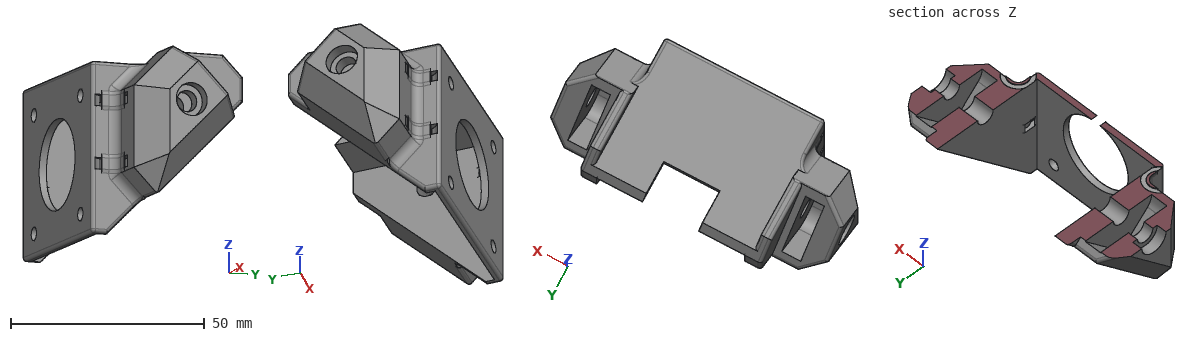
import cadquery as cq
import math


total_width = 81.4
total_depth = 41.0
total_height = 48.5
edge_round = 1.0

housing_half = 23.45
cavity_half = 21.65
deck_height = 45.0
plate = 2.0
foot_depth = 4.5
cheek_half = 26.6
notch_width = 16.45
notch_front = 29.4

motor_bore = 24.0
motor_center_z = 21.6
screw_hole = 3.5
screw_spacing = 31.1

wing_half = total_width / 2
bevel_start = 34.35
wing_front = 7.2
wing_upper = 30.1
wing_lower = 22.9
shallow_bevel = 6.35
deep_bevel = 7.4
root_fillet = 2.5

bearing_y = 20.7
bearing_z = 33.45
pocket_half = 9.2
pocket_corner = 5.0
pocket_inner_x = 28.6
pocket_width = 5.5
shaft_hole = 5.5
shaft_counterbore = 8.6
counterbore_depth = 3.25

tie_height = 3.0
tie_inner_radius = 3.25
tie_outer_radius = 4.6
band_raise = 0.2
band_flank = 1.0
band_end_x = 28.1
band_end_y = 2.7
band_backing = 0.8

tolerance = 0.01
reach = 2 * total_width
diagonal = math.sqrt(0.5)
wing_top = 2 * total_height - wing_upper
rear_edge_z = total_depth - foot_depth
rear_slope_z = deck_height - plate
rear_slope_sum = total_depth + rear_slope_z
root_x = housing_half + root_fillet
root_y = wing_front - root_fillet
band_height = tie_height + 2 * band_flank

apex = (total_height - wing_upper, total_height)
front_high = (wing_front, wing_upper + wing_front)
front_low = (wing_front, wing_lower - wing_front)
under_low = ((wing_lower + foot_depth) / 2, (wing_lower - foot_depth) / 2)
under_high = ((wing_top + foot_depth) / 2, (wing_top - foot_depth) / 2)
rear_low = (total_depth, rear_edge_z)
rear_high = (total_depth, rear_slope_z)
rear_deck = (rear_slope_sum - deck_height, deck_height)
rear_top = (rear_slope_sum - total_height, total_height)

housing_profile = [(0, 0), (foot_depth, 0), rear_low, rear_high, rear_deck, (0, deck_height)]
root_profile = [(0, 0), (foot_depth, 0), under_high, (wing_top - deck_height, deck_height), (0, deck_height)]
cheek_profile = [apex, rear_top, rear_high, rear_low, under_low, front_low, front_high]
wing_profile = [apex, under_high, under_low, front_low, front_high]

upward_front = (-diagonal, diagonal)
straight_front = (-1.0, 0.0)
downward_front = (-diagonal, -diagonal)
downward_rear = (diagonal, -diagonal)

tie_centers = (front_low[1] + band_height / 2, front_high[1] - band_height / 2)


def profile_prism(points, x_start, x_end):
    """Extrude a (Y, Z) outline along X."""
    return cq.Workplane("YZ", origin=(x_start, 0, 0)).polyline(points).close().extrude(x_end - x_start)


def edge_plane(point, outward):
    """Plane across a wing face: local x points out of the face and local y along +X."""
    out_y, out_z = outward
    return cq.Plane(origin=(0, *point), xDir=(0, out_y, out_z), normal=(0, out_z, -out_y))


def passes(edge, point):
    """True when the middle of the edge lies at a (Y, Z) point."""
    center = edge.Center()
    return math.dist((center.y, center.z), point) < tolerance


def on_underside(edge):
    """True for edges in the 45 degree underside plane."""
    center = edge.Center()
    return center.y > center.z + foot_depth - tolerance


def make_root():
    """Concave fillet swept around the three front faces of the wing, filled in behind."""
    arc_mid = root_fillet * (1 - diagonal)
    path_start = (under_low[0] + root_fillet, under_low[1] - root_fillet)
    path_points = [path_start, front_low, front_high, apex]
    path = cq.Workplane("YZ", origin=(housing_half, 0, 0)).polyline(path_points)
    flare = (
        cq.Workplane(edge_plane(path_start, downward_front))
        .moveTo(0, housing_half - edge_round)
        .lineTo(0, root_x)
        .threePointArc((arc_mid, housing_half + arc_mid), (root_fillet, housing_half))
        .lineTo(root_fillet, housing_half - edge_round)
        .close()
        .sweep(path, transition="round")
    )
    filling = profile_prism(wing_profile, housing_half - edge_round, root_x)
    return flare.union(filling).intersect(profile_prism(root_profile, 0, wing_half)).clean()


def is_housing_edge(edge):
    """True for the outer edges of the front face and of the side face, and the root arcs."""
    center = edge.Center()
    on_deck = center.z > deck_height - tolerance
    on_bottom = center.z < tolerance
    on_front = center.y < tolerance and center.x > tolerance
    on_side = center.x > housing_half - tolerance and edge.BoundingBox().xmax < housing_half + tolerance
    on_rim = on_deck or on_bottom or on_underside(edge)
    is_root_arc = edge.geomType() != "LINE" and (on_deck or on_underside(edge))
    return on_front or is_root_arc or (on_side and on_rim)


def make_housing():
    """Solid right half of the housing with its wing root, outer edges rounded."""
    housing = profile_prism(housing_profile, 0, housing_half).union(make_root()).clean()
    return housing.edges().filter(is_housing_edge).fillet(edge_round)


def make_ridge_envelope():
    """Cheek profile across the whole side, with the ridge along its apex rounded."""
    envelope = profile_prism(cheek_profile, housing_half, wing_half)
    return envelope.edges().filter(lambda edge: passes(edge, apex)).fillet(edge_round)


def is_cheek_rim(edge):
    """True for the top, rear and underside edges of the cheek."""
    center = edge.Center()
    return center.y + center.z > wing_top + tolerance or on_underside(edge)


def is_cheek_rail(edge):
    """True for the rim edges that stand above the deck."""
    return is_cheek_rim(edge) and edge.Center().z > deck_height


def make_cheek():
    """Raised rear wall on the housing side, joined below the deck by a filler."""
    cheek = profile_prism(cheek_profile, housing_half, cheek_half)
    cheek = cheek.faces(">X").edges().filter(is_cheek_rim).fillet(edge_round)
    cheek = cheek.faces("<X").edges().filter(is_cheek_rail).fillet(edge_round)
    cheek = cheek.intersect(make_ridge_envelope())
    filler_start = housing_half - edge_round
    filler_end = housing_half + edge_round
    filler = profile_prism(cheek_profile, filler_start, filler_end)
    filler = filler.intersect(profile_prism(housing_profile, filler_start, filler_end))
    return cheek.union(filler)


def is_wing_top_rim(edge):
    """True for the outer, bevel and rear edges of the top wing face."""
    center = edge.Center()
    in_top_face = abs(center.y + center.z - wing_top) < tolerance
    is_inner = center.x < housing_half + edge_round + tolerance
    is_ridge = center.y < apex[0] + edge_round
    return in_top_face and not is_inner and not is_ridge


def make_wing():
    """Bearing block with four outer bevels, a rounded toe and a rounded top rim."""
    wing = profile_prism(wing_profile, housing_half + edge_round, wing_half).intersect(make_ridge_envelope())
    bevels = (
        (front_high, upward_front, shallow_bevel),
        (under_low, downward_rear, shallow_bevel),
        (front_low, straight_front, deep_bevel),
        (front_low, downward_front, deep_bevel),
    )
    for point, outward, depth in bevels:
        corner = [(0, bevel_start), (-depth, wing_half), (0, wing_half)]
        wedge = cq.Workplane(edge_plane(point, outward)).polyline(corner).close().extrude(reach, both=True)
        wing = wing.cut(wedge)
    wing = wing.edges().filter(lambda edge: passes(edge, under_low)).fillet(edge_round)
    return wing.edges().filter(is_wing_top_rim).fillet(edge_round)


def make_band(tie_z):
    """Raised guide band with sloped flanks, wrapped around the upright root fillet."""
    radius = root_fillet - band_raise
    side_x = housing_half + band_raise
    front_y = wing_front - band_raise
    back_x = housing_half - band_backing
    back_y = wing_front + band_backing
    arc_mid = (root_x - radius * diagonal, root_y + radius * diagonal)
    band = (
        cq.Workplane(origin=(0, 0, tie_z - band_height / 2))
        .moveTo(band_end_x, front_y)
        .lineTo(root_x, front_y)
        .threePointArc(arc_mid, (side_x, root_y))
        .lineTo(side_x, band_end_y)
        .lineTo(back_x, band_end_y)
        .lineTo(back_x, back_y)
        .lineTo(band_end_x, back_y)
        .close()
        .extrude(band_height)
    )
    skin_box = cq.selectors.BoxSelector(
        (side_x - tolerance, band_end_y + tolerance, 0),
        (band_end_x - tolerance, front_y + tolerance, total_height),
    )
    return band.faces("<Z or >Z").edges(skin_box).chamfer(band_flank, band_raise)


def make_tie_tunnel(tie_z):
    """Ring around the root fillet axis; the tie runs through the part of it inside the wall."""
    start = cq.Workplane(origin=(root_x, root_y, tie_z - tie_height / 2))
    return start.circle(tie_outer_radius).circle(tie_inner_radius).extrude(tie_height)


def bearing_axis(x_start):
    """YZ workplane on the bearing axis."""
    return cq.Workplane("YZ", origin=(x_start, bearing_y, bearing_z))


def make_bearing_cut():
    """Round-cornered pocket from the top wing face, with the shaft hole and its counterbore."""
    pocket = (
        bearing_axis(pocket_inner_x)
        .transformed(rotate=(0, 0, 45))
        .moveTo(-pocket_half, -pocket_half)
        .lineTo(reach, -pocket_half)
        .lineTo(reach, pocket_half)
        .lineTo(-pocket_half, pocket_half)
        .close()
        .extrude(pocket_width)
        .edges("|X")
        .fillet(pocket_corner)
    )
    shaft = bearing_axis(0).circle(shaft_hole / 2).extrude(wing_half)
    counterbore_start = bearing_axis(wing_half - counterbore_depth)
    counterbore = counterbore_start.circle(shaft_counterbore / 2).extrude(counterbore_depth)
    return pocket.union(shaft).union(counterbore)


def rear_box(width, y_start, z_end):
    """Box centered on X = 0, open to the rear and below."""
    start = cq.Workplane(origin=(0, y_start, z_end))
    return start.box(width, reach, reach, centered=(True, False, False)).translate((0, 0, -reach))


def make_center_cuts():
    """Housing cavity, rear deck notch, motor bore and motor screw holes."""
    cavity = rear_box(2 * cavity_half, plate, deck_height - plate)
    notch = rear_box(notch_width, notch_front, total_height)
    front = cq.Workplane("XZ", origin=(0, 0, motor_center_z))
    bore = front.circle(motor_bore / 2).extrude(-plate)
    screw_places = front.rect(screw_spacing, screw_spacing, forConstruction=True).vertices()
    screws = screw_places.circle(screw_hole / 2).extrude(-plate)
    return cavity.union(notch).union(bore).union(screws)


half = make_housing().union(make_cheek()).union(make_wing())
for center_z in tie_centers:
    half = half.union(make_band(center_z)).cut(make_tie_tunnel(center_z))
half = half.cut(make_bearing_cut())
result = half.union(half.mirror("YZ")).cut(make_center_cuts()).clean()